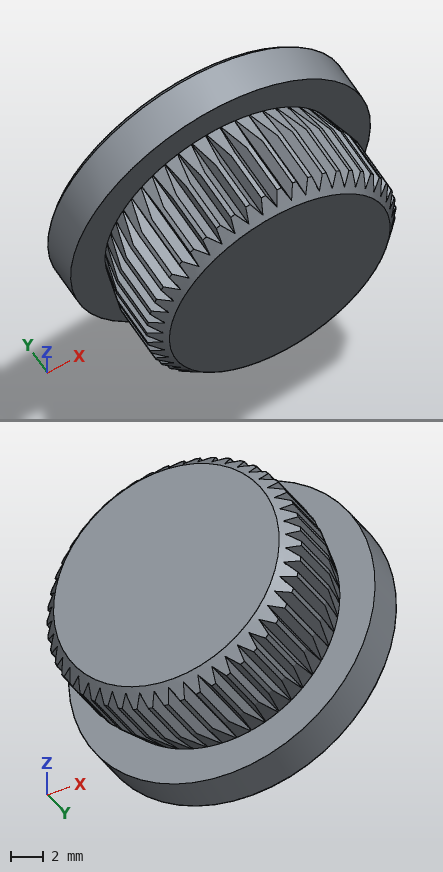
import cadquery as cq
import math

flange_radius = 10.65
flange_thickness = 3.0
flange_chamfer = 0.3
plug_length = 6.99

crest_radius = 8.85
taper_base_radius = 8.2
taper_length = 2.45
end_chamfer = 1.0

groove_count = 50
groove_root_radius = 8.14
groove_angle = 60.0
groove_overrun = 0.21


def revolve_about_y(points):
    """Turn a closed (Y, radius) outline fully around the Y axis."""
    return cq.Workplane("YZ").polyline(points).close().revolve(360, (0, 0, 0), (1, 0, 0))


def make_flange():
    """Disc from Y = 0 towards +Y, chamfered on its outer back edge."""
    return revolve_about_y([
        (0, 0),
        (0, flange_radius),
        (flange_thickness - flange_chamfer, flange_radius),
        (flange_thickness, flange_radius - flange_chamfer),
        (flange_thickness, 0),
    ])


def make_plug_blank():
    """Plug without its knurl, from Y = 0 towards -Y."""
    return revolve_about_y([
        (0, 0),
        (0, taper_base_radius),
        (-taper_length, crest_radius),
        (end_chamfer - plug_length, crest_radius),
        (-plug_length, crest_radius - end_chamfer),
        (-plug_length, 0),
    ])


def make_groove_cutter():
    """V-shaped bar along the full plug, with its sharp edge on the groove root at +Z."""
    outer_radius = crest_radius + groove_overrun
    half_width = (outer_radius - groove_root_radius) * math.tan(math.radians(groove_angle / 2))
    return (
        cq.Workplane("XZ")
        .polyline([
            (0, groove_root_radius),
            (half_width, outer_radius),
            (-half_width, outer_radius),
        ])
        .close()
        .extrude(plug_length)
    )


def cut_knurl(blank):
    """Cut the evenly spaced grooves, the first one at +Z."""
    pitch_angle = 360 / groove_count
    cutter = make_groove_cutter()
    for index in range(groove_count):
        blank = blank.cut(cutter.rotate((0, 0, 0), (0, 1, 0), index * pitch_angle))
    return blank


result = make_flange().union(cut_knurl(make_plug_blank()))